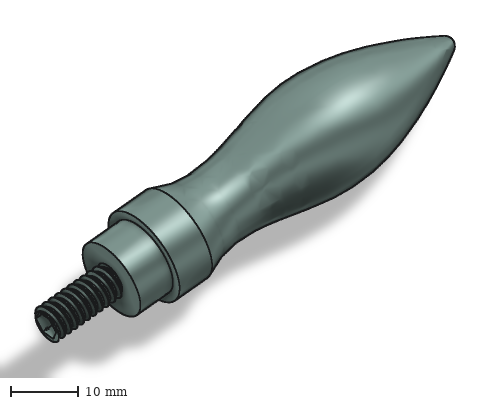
import cadquery as cq
import math


OVERALL_LENGTH = 81.0
SHOULDER_LENGTH = 6.5
FERRULE_LENGTH = 6.5
GRIP_LENGTH = 55.0
TIP_DOME_HEIGHT = 0.8
FERRULE_END_Y = SHOULDER_LENGTH + FERRULE_LENGTH
TIP_Y = FERRULE_END_Y + GRIP_LENGTH
DOME_BASE_Y = TIP_Y - TIP_DOME_HEIGHT

SHOULDER_RADIUS = 13.05 / 2
FERRULE_RADIUS = 16.0 / 2
WAIST_RADIUS = 6.2
BELLY_RADIUS = 9.4
TIP_DOME_RADIUS = 1.4

WAIST_FROM_TIP = 45.8
NECK_FROM_TIP = 36.85
NECK_RADIUS = 7.8
BELLY_FROM_TIP = 27.0
TAPER_FROM_TIP = 12.5
TAPER_RADIUS = 6.7

STUD_LENGTH = OVERALL_LENGTH - TIP_Y
THREAD_DIAMETER = 5.9
ROOT_DIAMETER = 4.9
THREAD_TURNS = 10.4
THREAD_PITCH = STUD_LENGTH / THREAD_TURNS
RIDGE_BASE_WIDTH = 1.05
RIDGE_CREST_WIDTH = 0.2
RIDGE_OVERLAP = 0.1
THREAD_START_ANGLE = 180

SOCKET_ACROSS_FLATS = 4.05
SOCKET_DEPTH = 4.9
SOCKET_TURN = -18


def make_handle():
    """Solid of revolution: stepped foot, waisted grip and small domed tip."""
    grip_stations = [
        (WAIST_RADIUS, TIP_Y - WAIST_FROM_TIP),
        (NECK_RADIUS, TIP_Y - NECK_FROM_TIP),
        (BELLY_RADIUS, TIP_Y - BELLY_FROM_TIP),
        (TAPER_RADIUS, TIP_Y - TAPER_FROM_TIP),
        (TIP_DOME_RADIUS, DOME_BASE_Y),
    ]
    dome_sphere = (TIP_DOME_RADIUS**2 + TIP_DOME_HEIGHT**2) / (2 * TIP_DOME_HEIGHT)
    half_angle = math.asin(TIP_DOME_RADIUS / dome_sphere) / 2
    dome_middle = (
        dome_sphere * math.sin(half_angle),
        TIP_Y - dome_sphere * (1 - math.cos(half_angle)),
    )
    half_profile = (
        cq.Workplane(cq.Plane(origin=(0, 0, 0), xDir=(0, 0, 1), normal=(-1, 0, 0)))
        .lineTo(SHOULDER_RADIUS, 0)
        .lineTo(SHOULDER_RADIUS, SHOULDER_LENGTH)
        .lineTo(FERRULE_RADIUS, SHOULDER_LENGTH)
        .lineTo(FERRULE_RADIUS, FERRULE_END_Y)
        .spline(grip_stations, includeCurrent=True)
        .threePointArc(dome_middle, (0, TIP_Y))
        .close()
    )
    return half_profile.revolve(360, (0, 0, 0), (0, 1, 0))


def make_thread_ridge():
    """Right-handed helical ridge along +Z, one pitch longer than the stud at each end."""
    inner_radius = ROOT_DIAMETER / 2 - RIDGE_OVERLAP
    crest_radius = THREAD_DIAMETER / 2
    helix = cq.Wire.makeHelix(THREAD_PITCH, STUD_LENGTH + 2 * THREAD_PITCH, inner_radius)
    ridge = (
        cq.Workplane("XZ")
        .moveTo(inner_radius, -RIDGE_BASE_WIDTH / 2)
        .lineTo(crest_radius, -RIDGE_CREST_WIDTH / 2)
        .lineTo(crest_radius, RIDGE_CREST_WIDTH / 2)
        .lineTo(inner_radius, RIDGE_BASE_WIDTH / 2)
        .close()
        .sweep(helix, isFrenet=True)
    )
    return ridge.translate((0, 0, -THREAD_PITCH))


def make_stud():
    """Threaded stud with a hexagon socket, modelled along +Z and laid along -Y."""
    core = cq.Workplane("XY").circle(ROOT_DIAMETER / 2).extrude(STUD_LENGTH)
    envelope = cq.Workplane("XY").circle(THREAD_DIAMETER).extrude(STUD_LENGTH)
    ridge = make_thread_ridge().rotate((0, 0, 0), (0, 0, 1), THREAD_START_ANGLE)
    socket = (
        cq.Workplane("XY", origin=(0, 0, STUD_LENGTH))
        .polygon(6, SOCKET_ACROSS_FLATS, circumscribed=True)
        .extrude(-SOCKET_DEPTH)
        .rotate((0, 0, 0), (0, 0, 1), SOCKET_TURN)
    )
    stud = core.union(ridge.intersect(envelope)).cut(socket)
    return stud.rotate((0, 0, 0), (1, 0, 0), 90).solids()


handle = make_handle()
stud = make_stud()

result = cq.Compound.makeCompound([handle.val(), stud.val()])